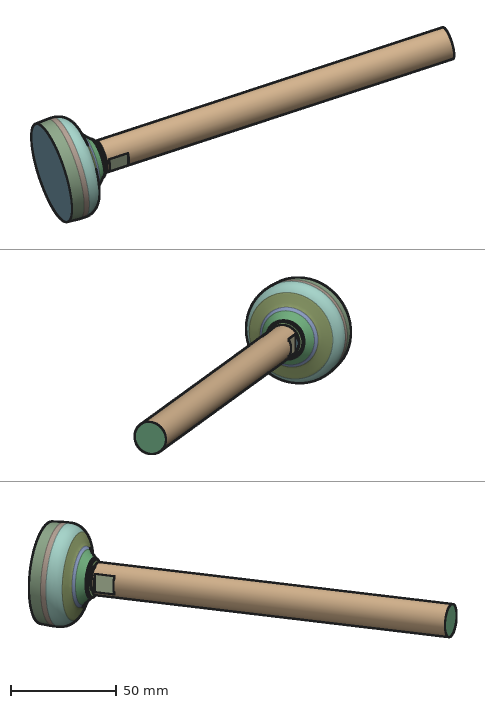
import cadquery as cq
import math

total_length = 205.0

foot_radius = 25.0
sole_radius = 24.5
band_start = 6.2
band_end = 8.8
shoulder_radius = 8.2
shoulder_sweep = 57.0
flare_end_radius = 14.8
flare_end_y = 18.2
collar_base_radius = 13.3
collar_base_y = 19.5
rim_radius = 9.6
collar_top_y = 24.2
rim_chamfer = 0.6

rod_radius = 8.0
neck_radius = 6.2
neck_depth = 4.0
rod_start_y = 25.6
end_cone_height = 0.8
flat_start_y = 26.9
flat_length = 9.8
flat_half_width = 6.5

neck_start_y = collar_top_y - neck_depth
AXIS_START = (0, 0, 0)
AXIS_END = (0, 1, 0)


def make_foot():
    """Turned pad with a rounded shoulder, a conical collar and a socket for the neck."""
    shoulder_center_x = foot_radius - shoulder_radius

    def shoulder_point(degrees):
        angle = math.radians(degrees)
        return (
            shoulder_center_x + shoulder_radius * math.cos(angle),
            band_end + shoulder_radius * math.sin(angle),
        )

    shoulder_end = shoulder_point(shoulder_sweep)
    sweep = math.radians(shoulder_sweep)
    shoulder_direction = (-math.sin(sweep), math.cos(sweep))
    flare_end_direction = (-1, 1)

    rim_start_y = collar_base_y + collar_base_radius - rim_radius

    foot = (
        cq.Workplane("XY")
        .lineTo(sole_radius, 0)
        .lineTo(foot_radius, band_start)
        .lineTo(foot_radius, band_end)
        .threePointArc(shoulder_point(shoulder_sweep / 2), shoulder_end)
        .spline(
            [(flare_end_radius, flare_end_y)],
            tangents=[shoulder_direction, flare_end_direction],
            includeCurrent=True,
        )
        .lineTo(collar_base_radius, collar_base_y)
        .lineTo(rim_radius, rim_start_y)
        .lineTo(rim_radius, collar_top_y - rim_chamfer)
        .lineTo(rim_radius - rim_chamfer, collar_top_y)
        .lineTo(0, collar_top_y)
        .close()
        .revolve(360, AXIS_START, AXIS_END)
    )
    socket = (
        cq.Workplane("XY")
        .moveTo(0, neck_start_y)
        .lineTo(neck_radius, neck_start_y)
        .lineTo(neck_radius, collar_top_y)
        .lineTo(0, collar_top_y)
        .close()
        .revolve(360, AXIS_START, AXIS_END)
    )
    return foot.cut(socket)


def make_rod():
    """Turned bar with a neck that fills the socket and a pair of flats across X."""
    rod = (
        cq.Workplane("XY")
        .moveTo(0, neck_start_y)
        .lineTo(neck_radius, neck_start_y)
        .lineTo(neck_radius, rod_start_y - end_cone_height)
        .lineTo(rod_radius, rod_start_y)
        .lineTo(rod_radius, total_length)
        .lineTo(0, total_length)
        .close()
        .revolve(360, AXIS_START, AXIS_END)
    )
    for side in (-1, 1):
        flat_cutter = cq.Workplane("XY").box(rod_radius, flat_length, 2 * rod_radius).translate(
            (side * (flat_half_width + rod_radius / 2), flat_start_y + flat_length / 2, 0)
        )
        rod = rod.cut(flat_cutter)
    return rod


foot = make_foot()
rod = make_rod()

result = cq.Compound.makeCompound([foot.val(), rod.val()])